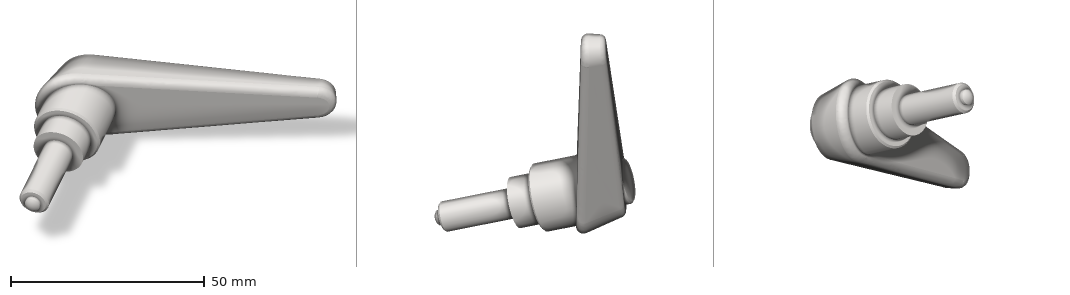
import cadquery as cq
import math


LOWER_HEIGHT = 16.7
LOWER_SLOPE = 19.9
LOWER_HUB_RADIUS = 11.3
LOWER_HUB_CENTER = -1.6
LOWER_TIP_RADIUS = 5.3
LOWER_TIP_CENTER = 61.3
UPPER_HEIGHT = 29.7
UPPER_SLOPE = 14.3
UPPER_HUB_RADIUS = 8.5
UPPER_HUB_CENTER = -0.7
UPPER_TIP_RADIUS = 4.3
UPPER_TIP_CENTER = 58.1
LOWER_EDGE_RADIUS = 1.9
UPPER_EDGE_RADIUS = 1.4

HUB_RADIUS = 9.0
HUB_BASE = 6.5
HUB_INNER_END = 22.0
BOSS_RADIUS = 6.1
BOSS_TOP = 30.9
EDGE_CHAMFER = 0.5

COLLAR_RADIUS = 6.75
STUD_RADIUS = 4.0
STUD_LENGTH = 20.0
STUD_CHAMFER = 0.6
POINT_RADIUS = 2.0
POINT_LENGTH = 1.0
DOME_HEIGHT = 0.9


def sloped_plane(height, slope):
    """Plane crossing the clamping axis at a height, local x up the slope and local y along -Z."""
    angle = math.radians(slope)
    return cq.Plane(
        origin=(0, height, 0),
        xDir=(math.cos(angle), math.sin(angle), 0),
        normal=(-math.sin(angle), math.cos(angle), 0),
    )


def rounded_taper(plane, hub_center, hub_radius, tip_center, tip_radius):
    """Wire of a large hub arc and a small tip arc joined by their two tangent lines."""
    taper_sine = (hub_radius - tip_radius) / (tip_center - hub_center)
    taper_cosine = math.sqrt(1 - taper_sine ** 2)
    hub_x = hub_center + hub_radius * taper_sine
    hub_y = hub_radius * taper_cosine
    tip_x = tip_center + tip_radius * taper_sine
    tip_y = tip_radius * taper_cosine
    return (
        cq.Workplane(plane)
        .moveTo(hub_x, -hub_y)
        .lineTo(tip_x, -tip_y)
        .threePointArc((tip_center + tip_radius, 0), (tip_x, tip_y))
        .lineTo(hub_x, hub_y)
        .threePointArc((hub_center - hub_radius, 0), (hub_x, -hub_y))
        .close()
        .val()
    )


def cylinder_along_y(radius, start, end):
    """Cylinder on the clamping axis from one height to another."""
    base = cq.Vector(0, start, 0)
    axis = cq.Vector(0, 1, 0)
    return cq.Workplane(cq.Solid.makeCylinder(radius, end - start, base, axis))


def build_arm():
    lower_plane = sloped_plane(LOWER_HEIGHT, LOWER_SLOPE)
    upper_plane = sloped_plane(UPPER_HEIGHT, UPPER_SLOPE)
    lower_wire = rounded_taper(
        lower_plane, LOWER_HUB_CENTER, LOWER_HUB_RADIUS, LOWER_TIP_CENTER, LOWER_TIP_RADIUS
    )
    upper_wire = rounded_taper(
        upper_plane, UPPER_HUB_CENTER, UPPER_HUB_RADIUS, UPPER_TIP_CENTER, UPPER_TIP_RADIUS
    )
    arm = cq.Workplane(cq.Solid.makeLoft([lower_wire, upper_wire], True))
    arm = arm.faces(cq.selectors.DirectionMinMaxSelector(-lower_plane.zDir, True)).edges()
    arm = arm.fillet(LOWER_EDGE_RADIUS)
    arm = arm.faces(cq.selectors.ParallelDirSelector(upper_plane.zDir)).edges()
    return arm.fillet(UPPER_EDGE_RADIUS)


def build_lever():
    hub = cylinder_along_y(HUB_RADIUS, HUB_BASE, HUB_INNER_END).faces("<Y").chamfer(EDGE_CHAMFER)
    boss = cylinder_along_y(BOSS_RADIUS, HUB_INNER_END, BOSS_TOP).faces(">Y").chamfer(EDGE_CHAMFER)
    return build_arm().union(hub).union(boss)


def build_stud():
    """Collar, shank and domed dog point turned as one piece, seated under the hub."""
    point_end = -STUD_LENGTH - POINT_LENGTH
    dome_radius = (POINT_RADIUS ** 2 + DOME_HEIGHT ** 2) / (2 * DOME_HEIGHT)
    dome_center = point_end - DOME_HEIGHT + dome_radius
    half_angle = math.asin(POINT_RADIUS / dome_radius) / 2
    dome_middle = (dome_radius * math.sin(half_angle), dome_center - dome_radius * math.cos(half_angle))
    return (
        cq.Workplane("XY")
        .moveTo(0, HUB_BASE)
        .lineTo(COLLAR_RADIUS, HUB_BASE)
        .lineTo(COLLAR_RADIUS, 0)
        .lineTo(STUD_RADIUS, 0)
        .lineTo(STUD_RADIUS, -STUD_LENGTH + STUD_CHAMFER)
        .lineTo(STUD_RADIUS - STUD_CHAMFER, -STUD_LENGTH)
        .lineTo(POINT_RADIUS, -STUD_LENGTH)
        .lineTo(POINT_RADIUS, point_end)
        .threePointArc(dome_middle, (0, point_end - DOME_HEIGHT))
        .close()
        .revolve(360, (0, 0, 0), (0, 1, 0))
    )


lever = build_lever()
stud = build_stud()
result = cq.Compound.makeCompound([lever.solids().val(), stud.val()])